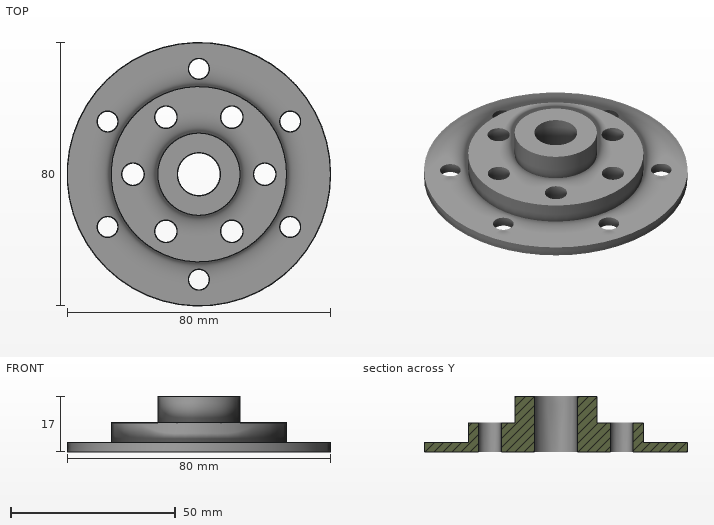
import cadquery as cq

flange_diameter = 80
boss_diameter = 53.2
hub_diameter = 25.0
total_height = 17.0
boss_height = 6.0
hub_height = 8
flange_thickness = total_height - boss_height - hub_height

bore_diameter = 13.0
holes_per_circle = 6
boss_hole_diameter = 6.7
boss_hole_circle_diameter = 40
boss_hole_start_angle = 0
flange_hole_diameter = 6.2
flange_hole_circle_diameter = 64
flange_hole_start_angle = 90


def stepped_body():
    """Flange, boss and hub stacked along Z with the flange base at Z = 0."""
    return (
        cq.Workplane("XY")
        .circle(flange_diameter / 2)
        .extrude(flange_thickness)
        .faces(">Z")
        .workplane()
        .circle(boss_diameter / 2)
        .extrude(boss_height)
        .faces(">Z")
        .workplane()
        .circle(hub_diameter / 2)
        .extrude(hub_height)
    )


def hole_ring(hole_diameter, circle_diameter, start_angle):
    """Full-height cylinders evenly spaced on a bolt circle."""
    return (
        cq.Workplane("XY")
        .polarArray(circle_diameter / 2, start_angle, 360, holes_per_circle)
        .circle(hole_diameter / 2)
        .extrude(total_height)
    )


bore = cq.Workplane("XY").circle(bore_diameter / 2).extrude(total_height)
boss_holes = hole_ring(boss_hole_diameter, boss_hole_circle_diameter, boss_hole_start_angle)
flange_holes = hole_ring(flange_hole_diameter, flange_hole_circle_diameter, flange_hole_start_angle)

result = stepped_body().cut(bore).cut(boss_holes).cut(flange_holes)